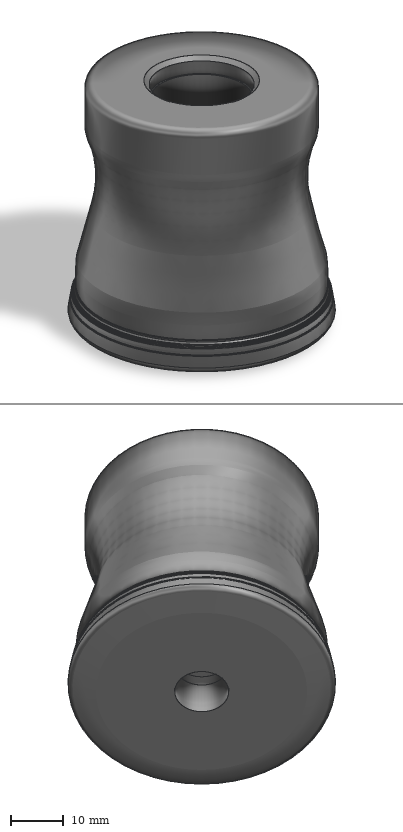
import cadquery as cq
import math

height = 50.8
flange_radius = 25.4

seam_z = 7.55
seam_chamfer = 0.1
skirt_radius = 24.0
skirt_top_z = 10.65
flare_bottom_radius = 23.75
flare_bottom_z = 13.25
flare_top_radius = 21.05
flare_top_z = 23.95
waist_radius = 20.1
waist_z = 30.65
neck_bottom_radius = 21.2
neck_bottom_z = 37.95
neck_top_radius = 21.95
neck_top_z = 40.0
head_radius = 22.2
head_bottom_z = 41.6
head_fillet = 1.6

mouth_radius = 10.95
mouth_depth = 0.75
counterbore_radius = 9.95
counterbore_depth = 3.4
bore_radius = 9.55
bore_depth = 10.75
relief_depth = 11.8
socket_radius = 9.7
socket_fillet = 0.55
floor_z = 10.15
through_radius = 5.15
through_fillet = 0.4

foot_radius = 20.05
underside_radius = 24.5
underside_z = 1.15
edge_mid_radius = 25.15
edge_mid_z = 1.75
rim_z = 2.4
groove_bottom_z = 4.65
groove_width = 0.2
groove_inset = 0.15
band_z = 5.45
band_radius = 24.9
step_bottom_z = 5.9
step_bottom_radius = 24.8
step_count = 4
step_height = 0.23
step_width = 0.13
shoulder_top_z = 7.15


def rounding_middle(straight_end, round_end):
    """Middle of an arc that leaves straight_end vertically and ends at round_end."""
    inset = straight_end[0] - round_end[0]
    rise = round_end[1] - straight_end[1]
    radius = (inset**2 + rise**2) / (2 * inset)
    half_angle = math.asin(abs(rise) / radius) / 2
    middle_radius = straight_end[0] - radius * (1 - math.cos(half_angle))
    middle_z = straight_end[1] + math.copysign(radius * math.sin(half_angle), rise)
    return (middle_radius, middle_z)


def revolve_profile(profile):
    """Turn a closed (radius, z) profile about the Z axis."""
    return profile.close().revolve(360, (0, 0, 0), (0, 1, 0))


def make_knob():
    skirt_top = (skirt_radius, skirt_top_z)
    flare_bottom = (flare_bottom_radius, flare_bottom_z)
    neck_top = (neck_top_radius, neck_top_z)
    head_bottom = (head_radius, head_bottom_z)
    outside = (
        cq.Workplane("XZ")
        .moveTo(0, seam_z)
        .lineTo(skirt_radius - seam_chamfer, seam_z)
        .lineTo(skirt_radius, seam_z + seam_chamfer)
        .lineTo(*skirt_top)
        .threePointArc(rounding_middle(skirt_top, flare_bottom), flare_bottom)
        .lineTo(flare_top_radius, flare_top_z)
        .threePointArc((waist_radius, waist_z), (neck_bottom_radius, neck_bottom_z))
        .lineTo(*neck_top)
        .threePointArc(rounding_middle(head_bottom, neck_top), head_bottom)
        .lineTo(head_radius, height - head_fillet)
        .tangentArcPoint((head_radius - head_fillet, height), relative=False)
        .lineTo(0, height)
    )
    return revolve_profile(outside).cut(make_bore())


def make_bore():
    """Solid of the empty space inside the knob."""
    bore = (
        cq.Workplane("XZ")
        .moveTo(0, height)
        .lineTo(mouth_radius, height)
        .lineTo(counterbore_radius, height - mouth_depth)
        .lineTo(counterbore_radius, height - counterbore_depth)
        .lineTo(bore_radius, height - counterbore_depth)
        .lineTo(bore_radius, height - bore_depth)
        .lineTo(counterbore_radius, height - relief_depth)
        .lineTo(socket_radius, height - relief_depth)
        .lineTo(socket_radius, floor_z + socket_fillet)
        .tangentArcPoint((socket_radius - socket_fillet, floor_z), relative=False)
        .lineTo(through_radius + through_fillet, floor_z)
        .tangentArcPoint((through_radius, floor_z - through_fillet), relative=False)
        .lineTo(through_radius, seam_z)
        .lineTo(0, seam_z)
    )
    return revolve_profile(bore)


def flange_wall_radius(z):
    """Radius of the tapered flange wall between its rounded edge and the band."""
    return flange_radius + (band_radius - flange_radius) * (z - rim_z) / (band_z - rim_z)


def make_base():
    groove_top_z = groove_bottom_z + groove_width
    groove_bottom_radius = flange_wall_radius(groove_bottom_z)
    groove_top_radius = flange_wall_radius(groove_top_z)
    groove_radius = groove_top_radius - groove_inset
    profile = (
        cq.Workplane("XZ")
        .moveTo(through_radius, 0)
        .lineTo(foot_radius, 0)
        .lineTo(underside_radius, underside_z)
        .threePointArc((edge_mid_radius, edge_mid_z), (flange_radius, rim_z))
        .lineTo(groove_bottom_radius, groove_bottom_z)
        .lineTo(groove_radius, groove_bottom_z)
        .lineTo(groove_radius, groove_top_z)
        .lineTo(groove_top_radius, groove_top_z)
        .lineTo(band_radius, band_z)
        .lineTo(step_bottom_radius, step_bottom_z)
    )
    for step in range(1, step_count + 1):
        step_z = step_bottom_z + step * step_height
        step_radius = step_bottom_radius - step * step_width
        profile = profile.lineTo(step_radius + step_width, step_z).lineTo(step_radius, step_z)
    profile = (
        profile.lineTo(skirt_radius, shoulder_top_z)
        .lineTo(skirt_radius, seam_z - seam_chamfer)
        .lineTo(skirt_radius - seam_chamfer, seam_z)
        .lineTo(through_radius, seam_z)
    )
    return revolve_profile(profile)


knob = make_knob()
base = make_base()
result = cq.Compound.makeCompound([knob.val(), base.val()])